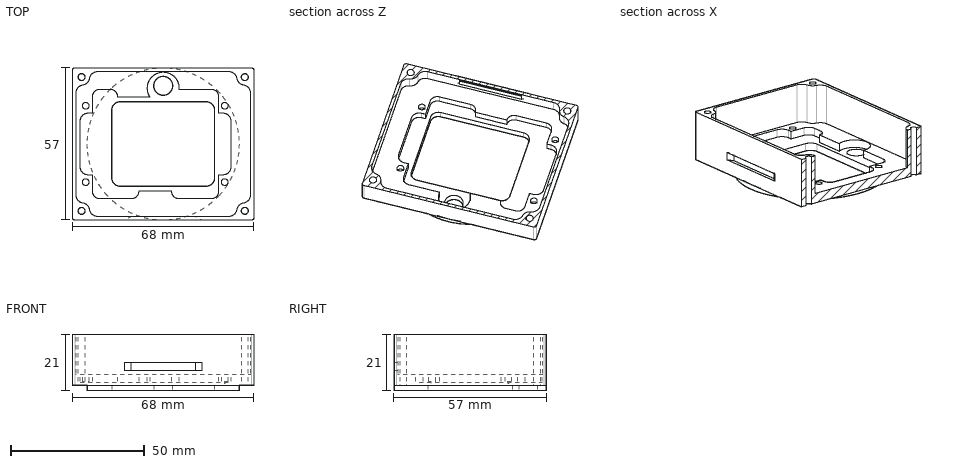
import cadquery as cq
import math

length = 68.0
width = 57.0
disc_height = 2.0
total_height = 21.0
outer_corner_radius = 0.95

cavity_length = 65.3
cavity_width = 54.1
floor_z = 6.0
post_radius = 3.0
post_fillet = 3.0
screw_x = 30.5
screw_y = 25.0
small_hole_diameter = 2.5

recess_z = 3.0
recess_center_x = -2.85
recess_length = 47.25
recess_width = 40.95
wing_length = 56.5
wing_width = 23.05
pocket_radius = 3.0

tab_depth = 2.85
lobe_radius = 2.8
front_tab_left = -9.1
front_tab_right = 3.1
rear_tab_left = -17.1
rear_tab_right = 0.0

window_length = 38.35
window_width = 31.5
cable_hole_diameter = 7.0
cable_hole_y = 21.75
cable_pocket_radius = 6.0
cable_pocket_y = 20.9

blind_spacing_x = 52.0
blind_spacing_y = 28.55
blind_center_x = -3.0
blind_depth = 2.5
drill_point_angle = 118.0

slot_outer_length = 28.9
slot_inner_length = 24.0
slot_height = 2.9
slot_bottom_z = 7.55


def block(size_x, size_y, bottom, top, center_x=0.0, center_y=0.0):
    """Box standing between two heights."""
    return (
        cq.Workplane("XY", origin=(center_x, center_y, bottom))
        .rect(size_x, size_y)
        .extrude(top - bottom)
    )


def cylinder(radius, bottom, top, center_x=0.0, center_y=0.0):
    """Vertical cylinder between two heights."""
    return (
        cq.Workplane("XY", origin=(center_x, center_y, bottom))
        .circle(radius)
        .extrude(top - bottom)
    )


def corner_points(spacing_x, spacing_y, center_x=0.0):
    """Four corners of a rectangle centred on y = 0."""
    return [
        (center_x + side_x * spacing_x / 2, side_y * spacing_y / 2)
        for side_x in (-1, 1)
        for side_y in (-1, 1)
    ]


screw_points = corner_points(2 * screw_x, 2 * screw_y)


def make_cavity():
    """Main cavity, with the corner posts blended into the walls."""
    cavity = block(cavity_length, cavity_width, floor_z, total_height)
    for x, y in screw_points:
        cavity = cavity.cut(cylinder(post_radius, floor_z, total_height, x, y))
    return cavity.edges("|Z").fillet(post_fillet)


def make_lobe(left, right, side):
    """Rounded pocket beside a tab, reaching the recess edge on the given Y side."""
    lobe = block(
        right - left, tab_depth, recess_z, floor_z,
        (left + right) / 2, side * (recess_width - tab_depth) / 2,
    )
    outer_face = ">Y" if side > 0 else "<Y"
    return lobe.faces(outer_face).edges("|Z").fillet(lobe_radius)


def make_recess():
    """Stepped floor recess: core, side wings, tab-separated lobes and cable pocket."""
    recess_left = recess_center_x - recess_length / 2
    recess_right = recess_center_x + recess_length / 2
    core_width = recess_width - 2 * tab_depth
    recess = block(recess_length, core_width, recess_z, floor_z, recess_center_x)
    wings = block(wing_length, wing_width, recess_z, floor_z, recess_center_x)
    recess = recess.union(wings.edges("|Z").fillet(pocket_radius))
    lobes = [
        (recess_left, front_tab_left, -1),
        (front_tab_right, recess_right, -1),
        (recess_left, rear_tab_left, 1),
        (rear_tab_right, recess_right, 1),
    ]
    for left, right, side in lobes:
        recess = recess.union(make_lobe(left, right, side))
    pocket = cylinder(cable_pocket_radius, recess_z, floor_z, 0, cable_pocket_y)
    return recess.union(pocket)


def make_blind_hole(x, y):
    """Drilled hole ending in a cone."""
    radius = small_hole_diameter / 2
    shoulder_z = floor_z - blind_depth
    tip_z = shoulder_z - radius / math.tan(math.radians(drill_point_angle / 2))
    return (
        cq.Workplane("XZ")
        .polyline([(0, tip_z), (radius, shoulder_z), (radius, floor_z), (0, floor_z)])
        .close()
        .revolve(360, (0, 0), (0, 1))
        .translate((x, y, 0))
    )


def make_slot():
    """Slot through the -Y wall with flared ends."""
    outer_y = -width / 2
    inner_y = -cavity_width / 2
    return (
        cq.Workplane("XY", origin=(0, 0, slot_bottom_z))
        .polyline([
            (-slot_outer_length / 2, outer_y),
            (slot_outer_length / 2, outer_y),
            (slot_inner_length / 2, inner_y),
            (-slot_inner_length / 2, inner_y),
        ])
        .close()
        .extrude(slot_height)
    )


body = block(length, width, disc_height, total_height).edges("|Z").fillet(outer_corner_radius)
body = body.union(cylinder(width / 2, 0, disc_height))
body = body.cut(make_cavity())
body = body.cut(make_recess())

window = block(window_length, window_width, 0, floor_z)
body = body.cut(window.edges("|Z").fillet(pocket_radius))
body = body.cut(cylinder(cable_hole_diameter / 2, 0, floor_z, 0, cable_hole_y))

for x, y in screw_points:
    body = body.cut(cylinder(small_hole_diameter / 2, 0, total_height, x, y))
for x, y in corner_points(blind_spacing_x, blind_spacing_y, blind_center_x):
    body = body.cut(make_blind_hole(x, y))

result = body.cut(make_slot())